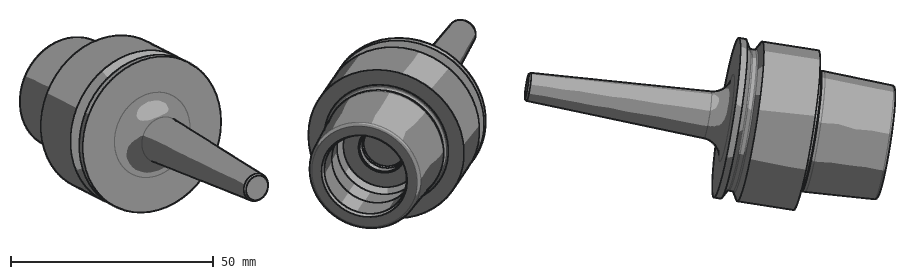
import cadquery as cq
import math

total_length = 90.0
shank_length = 20.0
shank_end = -shank_length
tip_x = total_length - shank_length

taper_ratio = 0.1
taper_end_radius = 14.2
end_round = 0.7
taper_stop = -2.0
rim_stop = -1.3
neck_start = -1.1
neck_radius = 14.85
relief_radius = 15.9
relief_depth = 0.1
neck_fillet = 0.5

collar_radius = 20.0
collar_length = shank_length
groove_center = 16.2
groove_mouth_width = 4.1
groove_bottom_radius = 17.7
groove_half_angle = math.radians(30)
groove_fillet = 0.45

nose_half_angle = math.radians(3)
tip_radius = 3.5
tip_chamfer = 0.5
tip_chamfer_depth = 0.4
nose_fillet = 5.0

mouth_radius = 11.0
bore_radius = 10.5
mouth_depth = 1.0
bore_depth = 7.8
chamber_radius = 11.0
floor_depth = 16.1
floor_radius = 9.9
floor_cone_length = 1.9

hole_mouth_radius = 6.0
hole_radius = 5.8
hole_bottom_radius = 5.4
hole_depth = 2.7


def revolved(outline):
    """Close an outline drawn as (x, radius) and turn it about the X axis."""
    return outline.close().revolve(360, (0, 0, 0), (1, 0, 0))


def make_shank():
    taper_rise = (taper_stop - shank_end) * taper_ratio / 2
    rim_radius = taper_end_radius + taper_rise
    shank = revolved(
        cq.Workplane("XY")
        .moveTo(shank_end, 0)
        .lineTo(shank_end, taper_end_radius)
        .lineTo(taper_stop, rim_radius)
        .lineTo(rim_stop, rim_radius)
        .lineTo(neck_start, neck_radius)
        .lineTo(relief_depth - neck_fillet, neck_radius)
        .radiusArc((relief_depth, neck_radius + neck_fillet), -neck_fillet)
        .lineTo(relief_depth, 0)
    )
    return shank.faces("<X").edges().fillet(end_round)


def make_collar():
    collar = (
        cq.Workplane("YZ")
        .circle(collar_radius)
        .extrude(collar_length)
    )
    relief = cq.Workplane("YZ").circle(relief_radius).extrude(relief_depth)
    return collar.cut(relief).cut(make_gripper_groove())


def make_gripper_groove():
    mouth_half = groove_mouth_width / 2
    depth = collar_radius - groove_bottom_radius
    bottom_half = mouth_half - depth * math.tan(groove_half_angle)
    groove = revolved(
        cq.Workplane("XY")
        .moveTo(groove_center - mouth_half, collar_radius)
        .lineTo(groove_center - bottom_half, groove_bottom_radius)
        .lineTo(groove_center + bottom_half, groove_bottom_radius)
        .lineTo(groove_center + mouth_half, collar_radius)
    )
    bottom_edges = cq.selectors.RadiusNthSelector(0)
    return groove.edges(bottom_edges).fillet(groove_fillet)


def make_nose():
    def cone_radius(x):
        return tip_radius + (tip_x - x) * math.tan(nose_half_angle)

    center_x = collar_length + nose_fillet
    tangent_x = center_x - nose_fillet * math.sin(nose_half_angle)
    tangent_radius = cone_radius(tangent_x)
    center_radius = tangent_radius + nose_fillet * math.cos(nose_half_angle)
    middle_angle = (math.pi / 2 - nose_half_angle) / 2
    middle = (
        center_x - nose_fillet * math.cos(middle_angle),
        center_radius - nose_fillet * math.sin(middle_angle),
    )
    chamfer_start = tip_x - tip_chamfer
    return revolved(
        cq.Workplane("XY")
        .moveTo(collar_length, 0)
        .lineTo(collar_length, center_radius)
        .threePointArc(middle, (tangent_x, tangent_radius))
        .lineTo(chamfer_start, cone_radius(chamfer_start))
        .lineTo(tip_x, tip_radius - tip_chamfer_depth)
        .lineTo(tip_x, 0)
    )


def make_bore():
    bore_stop = shank_end + bore_depth
    floor_x = shank_end + floor_depth
    hole_end = floor_x + hole_depth
    bottom_chamfer = hole_radius - hole_bottom_radius
    hole_chamfer = hole_mouth_radius - hole_radius
    return revolved(
        cq.Workplane("XY")
        .moveTo(shank_end, 0)
        .lineTo(shank_end, mouth_radius)
        .lineTo(shank_end + mouth_depth, bore_radius)
        .lineTo(bore_stop, bore_radius)
        .lineTo(bore_stop, chamber_radius)
        .lineTo(floor_x - floor_cone_length, chamber_radius)
        .lineTo(floor_x, floor_radius)
        .lineTo(floor_x, hole_mouth_radius)
        .lineTo(floor_x + hole_chamfer, hole_radius)
        .lineTo(hole_end - bottom_chamfer, hole_radius)
        .lineTo(hole_end, hole_bottom_radius)
        .lineTo(hole_end, 0)
    )


result = make_collar().union(make_shank()).union(make_nose()).cut(make_bore())